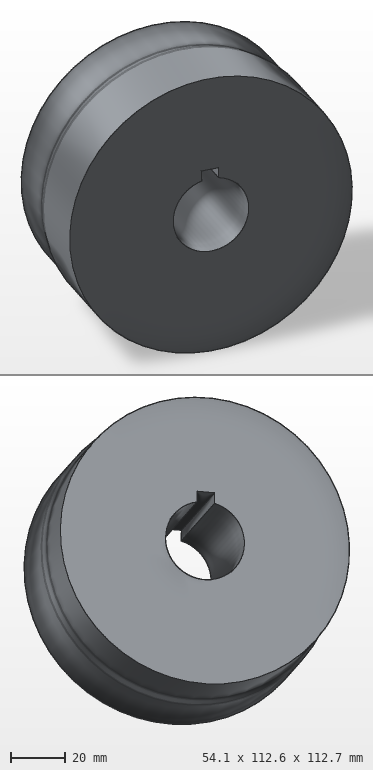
import cadquery as cq
import math

small_diameter = 110.0
large_diameter = 112.2
total_length = 51.5
cone_start = 20.8
cone_end = 24.8
cone_blend_radius = 2.8
bore_diameter = 30.0
keyway_width = 6.6
keyway_top = 18.7

tilt_about_y = -1.1
tilt_about_z = -0.8
roll_about_axis = 0.9


def wheel_body():
    """Stepped rim: small cylinder, cone with blended corners, large cylinder."""
    small_radius = small_diameter / 2
    large_radius = large_diameter / 2
    angle = math.atan2(large_radius - small_radius, cone_end - cone_start)
    reach = cone_blend_radius * math.tan(angle / 2)
    along = reach * math.cos(angle)
    across = reach * math.sin(angle)
    profile = (
        cq.Workplane("XY")
        .lineTo(0, small_radius)
        .lineTo(cone_start - reach, small_radius)
        .tangentArcPoint((cone_start + along, small_radius + across), relative=False)
        .lineTo(cone_end - along, large_radius - across)
        .tangentArcPoint((cone_end + reach, large_radius), relative=False)
        .lineTo(total_length, large_radius)
        .lineTo(total_length, 0)
        .close()
    )
    return profile.revolve(360, (0, 0, 0), (1, 0, 0))


def keyed_bore():
    """Through bore with a rectangular keyway on its +Z side."""
    bore = cq.Workplane("YZ").circle(bore_diameter / 2).extrude(total_length)
    keyway = (
        cq.Workplane("YZ")
        .center(0, keyway_top / 2)
        .rect(keyway_width, keyway_top)
        .extrude(total_length)
    )
    return bore.union(keyway)


wheel = wheel_body().cut(keyed_bore()).translate((-total_length / 2, 0, 0))

origin = (0, 0, 0)
result = (
    wheel.rotate(origin, (1, 0, 0), roll_about_axis)
    .rotate(origin, (0, 1, 0), tilt_about_y)
    .rotate(origin, (0, 0, 1), tilt_about_z)
)